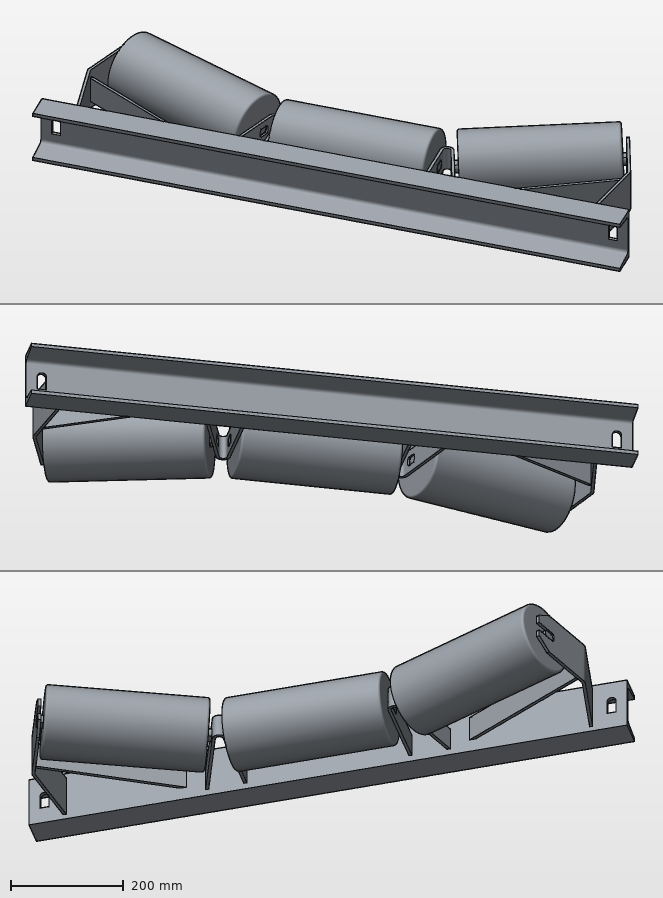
import cadquery as cq
import math


channel_length = 1100.0
channel_height = 100.0
channel_depth = 51.0
web_thickness = 7.0
flange_tip_thickness = 7.0
flange_root_thickness = 12.0
root_fillet = 7.0
mount_slot_width = 16.0
mount_slot_height = 33.0
mount_slot_from_end = 29.0

roller_length = 292.0
roller_diameter = 133.0
roller_edge_fillet = 4.0
shaft_length = 310.0
shaft_diameter = 23.0
shaft_flat_width = 16.0
shaft_flat_length = 9.0

centre_roller_y = 166.0
centre_roller_z = -15.0
side_roller_x = 325.0
side_roller_y = 225.0
side_roller_z = -8.2
trough_angle = 20.0
forward_tilt = 2.4

strip_thickness = 5.0
inner_strip_width = 44.0
inner_leg_x = 152.0
inner_bend_top = 200.0
inner_bend_radius = 10.0
outer_strip_width = 80.0
outer_foot_x = 484.0
outer_bend_x = 506.0
outer_bend_y = 179.0
outer_bend_radius = 19.0
outer_tip_y = 310.0
tip_chamfer_along = 31.0
tip_chamfer_across = 18.0
strut_width = 50.0
strut_top_y = 182.0
strut_foot_x = 266.0

trough_radians = math.radians(trough_angle)
trough_slope = math.tan(trough_radians)
half_length = channel_length / 2
half_height = channel_height / 2
slot_reach = roller_diameter
hole_span = shaft_length + 2 * strip_thickness
side_places = (-1, 1)
all_places = (-1, 0, 1)


def place(body, side):
    """Move a body built along X at the origin to a roller position: -1 left, 0 centre, 1 right."""
    if side == 0:
        return body.translate((0, centre_roller_y, centre_roller_z))
    tilted = body.rotate((0, 0, 0), (0, 1, 0), -side * forward_tilt)
    raised = tilted.rotate((0, 0, 0), (0, 0, 1), side * trough_angle)
    return raised.translate((side * side_roller_x, side_roller_y, side_roller_z))


def make_channel():
    """Full-length channel with tapered flanges and a mounting slot near each end."""
    web_front = channel_depth - web_thickness
    tip_z = half_height - flange_tip_thickness
    root_z = half_height - flange_root_thickness
    channel = (
        cq.Workplane("YZ", origin=(-half_length, 0, 0))
        .moveTo(channel_depth, -half_height)
        .lineTo(channel_depth, half_height)
        .lineTo(0, half_height)
        .lineTo(0, tip_z)
        .lineTo(web_front, root_z)
        .lineTo(web_front, -root_z)
        .lineTo(0, -tip_z)
        .lineTo(0, -half_height)
        .close()
        .extrude(channel_length)
    )
    for side in side_places:
        root = cq.selectors.NearestToPointSelector((0, web_front, side * root_z))
        channel = channel.edges("|X").edges(root).fillet(root_fillet)
    for side in side_places:
        channel = channel.cut(make_mount_slot(side * (half_length - mount_slot_from_end)))
    return channel


def make_mount_slot(x):
    """Upright slot through the web, round at the top and square at the bottom."""
    half_width = mount_slot_width / 2
    top = mount_slot_height / 2
    return (
        cq.Workplane("XZ", origin=(x, 0, 0))
        .moveTo(-half_width, -top)
        .lineTo(-half_width, top - half_width)
        .threePointArc((0, top), (half_width, top - half_width))
        .lineTo(half_width, -top)
        .close()
        .extrude(-channel_depth)
    )


def make_inner_bracket():
    """Hairpin strip: an upright leg by the centre roller, a leaning leg by the side roller."""
    outer = inner_bend_radius + strip_thickness / 2
    inner = inner_bend_radius - strip_thickness / 2
    bend_x = inner_leg_x + inner_bend_radius
    bend_y = inner_bend_top - outer
    middle_turn = (math.pi + trough_radians) / 2

    def on_bend(radius, turn):
        return (bend_x + radius * math.cos(turn), bend_y + radius * math.sin(turn))

    def leaning_foot(radius):
        x, y = on_bend(radius, trough_radians)
        return (x + (y - channel_depth) * trough_slope, channel_depth)

    return (
        cq.Workplane("XY", origin=(0, 0, centre_roller_z - inner_strip_width / 2))
        .moveTo(bend_x - outer, channel_depth)
        .lineTo(bend_x - outer, bend_y)
        .threePointArc(on_bend(outer, middle_turn), on_bend(outer, trough_radians))
        .lineTo(*leaning_foot(outer))
        .lineTo(*leaning_foot(inner))
        .lineTo(*on_bend(inner, trough_radians))
        .threePointArc(on_bend(inner, middle_turn), (bend_x - inner, bend_y))
        .lineTo(bend_x - inner, channel_depth)
        .close()
        .extrude(inner_strip_width)
    )


def make_outer_bracket():
    """Strip that leans out from the web, then bends in to stand square to the side roller."""
    half = strip_thickness / 2
    lower_lean = math.atan2(outer_bend_x - outer_foot_x, outer_bend_y - channel_depth)
    half_turn = (trough_radians + lower_lean) / 2
    mean_lean = (trough_radians - lower_lean) / 2
    miter = half / math.cos(half_turn)
    miter_x = miter * math.cos(mean_lean)
    miter_y = miter * math.sin(mean_lean)
    foot_half = half / math.cos(lower_lean)
    tip_x = outer_bend_x - (outer_tip_y - outer_bend_y) * trough_slope
    tip_dx = half * math.cos(trough_radians)
    tip_dy = half * math.sin(trough_radians)
    bracket = (
        cq.Workplane("XY", origin=(0, 0, -outer_strip_width / 2))
        .moveTo(outer_foot_x - foot_half, channel_depth)
        .lineTo(outer_foot_x + foot_half, channel_depth)
        .lineTo(outer_bend_x + miter_x, outer_bend_y + miter_y)
        .lineTo(tip_x + tip_dx, outer_tip_y + tip_dy)
        .lineTo(tip_x - tip_dx, outer_tip_y - tip_dy)
        .lineTo(outer_bend_x - miter_x, outer_bend_y - miter_y)
        .close()
        .extrude(outer_strip_width)
    )
    for direction, radius in ((1, outer_bend_radius), (-1, outer_bend_radius - strip_thickness)):
        corner = (outer_bend_x + direction * miter_x, outer_bend_y + direction * miter_y, 0)
        fold = cq.selectors.NearestToPointSelector(corner)
        bracket = bracket.edges("|Z").edges(fold).fillet(radius)
    for side in side_places:
        bracket = bracket.cut(make_tip_corner(tip_x, side))
    return bracket


def make_tip_corner(tip_x, side):
    """Wedge that clips one corner off the tip of the outer bracket."""
    corner_z = side * outer_strip_width / 2
    return (
        cq.Workplane("YZ", origin=(-strip_thickness, 0, 0))
        .moveTo(-tip_chamfer_along, corner_z)
        .lineTo(strip_thickness, corner_z)
        .lineTo(strip_thickness, corner_z - side * tip_chamfer_across)
        .lineTo(0, corner_z - side * tip_chamfer_across)
        .close()
        .extrude(2 * strip_thickness)
        .rotate((0, 0, 0), (0, 0, 1), trough_angle)
        .translate((tip_x, outer_tip_y, 0))
    )


def make_strut():
    """Straight strip bracing the fold of the outer bracket against the web."""
    rise = strut_top_y - channel_depth
    run = outer_bend_x - strut_foot_x
    half_base = strip_thickness / 2 * math.hypot(run, rise) / rise
    return (
        cq.Workplane("XY", origin=(0, 0, -strut_width / 2))
        .moveTo(strut_foot_x - half_base, channel_depth)
        .lineTo(strut_foot_x + half_base, channel_depth)
        .lineTo(outer_bend_x, strut_top_y - half_base * rise / run)
        .lineTo(outer_bend_x, strut_top_y)
        .lineTo(outer_bend_x - half_base, strut_top_y)
        .close()
        .extrude(strut_width)
    )


def make_tip_slot(side):
    """Cutter that opens a shaft hole through the bracket tip beyond one end of a roller."""
    roller_to_hole_end = (hole_span - roller_length) / 2
    slot = cq.Workplane("XY").box(
        roller_to_hole_end, slot_reach, shaft_flat_width, centered=(True, False, True)
    )
    middle_x = (hole_span - roller_to_hole_end) / 2
    return slot.translate((side * middle_x, 0, 0))


def make_flatted_bar(length):
    """Round bar with two full-length flats facing +Z and -Z."""
    flats = cq.Workplane("XY").box(length, shaft_diameter, shaft_flat_width)
    return make_round_bar(length).intersect(flats)


def make_round_bar(length):
    """Round bar of the shaft's diameter, centred on the origin along X."""
    return cq.Workplane("YZ", origin=(-length / 2, 0, 0)).circle(shaft_diameter / 2).extrude(length)


def make_frame():
    """Channel, brackets and struts welded into one piece, with flatted holes for the shafts.

    The holes in the outer brackets are open at the tip, so the side rollers can drop in.
    """
    half_frame = make_inner_bracket().union(make_outer_bracket()).union(make_strut())
    frame = make_channel().union(half_frame).union(half_frame.mirror("YZ"))
    for side in all_places:
        frame = frame.cut(place(make_flatted_bar(hole_span), side))
    for side in side_places:
        frame = frame.cut(place(make_tip_slot(side), side))
    return frame


def make_roller():
    """Solid roller with rounded rims and a bore for its shaft."""
    return (
        cq.Workplane("YZ", origin=(-roller_length / 2, 0, 0))
        .circle(roller_diameter / 2)
        .extrude(roller_length)
        .edges()
        .fillet(roller_edge_fillet)
        .faces("<X")
        .workplane()
        .hole(shaft_diameter)
    )


def make_shaft():
    """Round shaft with two flats cut on each end to sit in the bracket holes."""
    middle = make_round_bar(shaft_length - 2 * shaft_flat_length)
    return make_flatted_bar(shaft_length).union(middle)


frame = make_frame()
rollers = [place(make_roller(), side) for side in all_places]
shafts = [place(make_shaft(), side) for side in all_places]

result = cq.Compound.makeCompound(
    [
        frame.val(),
        *[roller.val() for roller in rollers],
        *[shaft.val() for shaft in shafts],
    ]
)